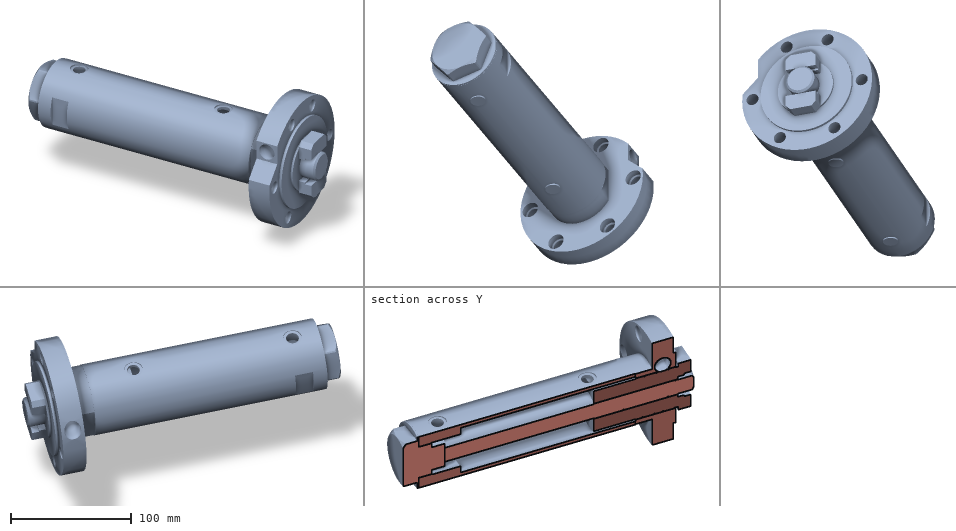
import cadquery as cq
import math

total_length = 263.5

hex_across_flats = 45.8
hex_corner_radius = 26.0
hex_turn_angle = 8.0
hex_face_radius = 22.7
hex_chamfer_length = 2.6
hex_length = 13.0
collar_radius = 29.8
collar_length = 1.5
plug_thread_end_x = 26.3
plug_nose_radius = 15.8
plug_nose_end_x = 38.2

tube_diameter = 59.8
tube_radius = tube_diameter / 2
tube_start_x = hex_length + collar_length
tube_end_x = 210.7
threaded_bore_radius = 19.8
threaded_bore_end_x = 52.7
wide_bore_radius = 26.0
wrench_flat_start_x = 24.8
wrench_flat_length = 15.3
wrench_flat_half_width = 27.0

port_x_positions = (35.5, 171.2)
port_radius = 5.3
spotface_radius = 7.6
spotface_z = 28.5
set_plug_x_positions = (38.7, 173.5)
set_plug_radius = 6.3
set_plug_tip_z = -30.8

neck_radius = 29.5
neck_flat_half_width = 25.0
flange_diameter = 114.0
flange_radius = flange_diameter / 2
flange_start_x = 225.5
flange_end_x = 245.0
pilot_radius = 40.0
pilot_end_x = 247.4
bolt_circle_radius = 48.0
bolt_angles = (0, 68, 112, 180, 240, 300)
bolt_hole_radius = 5.3
bolt_counterbore_radius = 7.0
bolt_counterbore_depth = 6.3
cross_hole_radius = 7.0
cross_hole_z = 29.0
notch_floor_y = -43.2
notch_corner_z = 20.0

hub_radius = 24.2
hub_start_x = 172.5
hub_end_x = 249.2
claw_end_x = 260.8
claw_span = 52.0
claw_half_width = 13.2
claw_chamfer = 4.0
claw_gap = 21.5
claw_relief_x = 255.0

rod_radius = 12.5
rod_chamfer = 1.5


def cylinder_x(radius, start_x, end_x, y=0.0, z=0.0):
    """Cylinder along X between two stations."""
    return cq.Workplane("YZ", origin=(start_x, y, z)).circle(radius).extrude(end_x - start_x)


def cylinder_z(radius, x, start_z, end_z):
    """Vertical cylinder between two heights."""
    return cq.Workplane("XY", origin=(x, 0, start_z)).circle(radius).extrude(end_z - start_z)


def box_between(start, end):
    """Box between two opposite corners."""
    size = [b - a for a, b in zip(start, end)]
    return cq.Workplane("XY").box(*size, centered=False).translate(start)


def side_flats(start_x, end_x, half_width, outer_radius):
    """Two cutters that leave flats at y = +half_width and y = -half_width."""
    upper = box_between((start_x, half_width, -outer_radius), (end_x, 2 * outer_radius, outer_radius))
    return upper.union(upper.mirror("XZ"))


def make_hex_plug():
    """Hex head, collar on the tube end, thread in the tube bore and a nose that meets the rod."""
    across_corners = hex_across_flats / math.cos(math.radians(30))
    head = cq.Workplane("YZ").polygon(6, across_corners).extrude(hex_length)
    head = head.rotate((0, 0, 0), (1, 0, 0), -hex_turn_angle)
    turned_profile = [
        (0, 0),
        (0, hex_face_radius),
        (hex_chamfer_length, hex_corner_radius),
        (hex_length, hex_corner_radius),
        (hex_length, 0),
    ]
    turned_blank = cq.Workplane("XY").polyline(turned_profile).close().revolve(360, (0, 0, 0), (1, 0, 0))
    collar = cylinder_x(collar_radius, hex_length, tube_start_x)
    thread = cylinder_x(threaded_bore_radius, tube_start_x, plug_thread_end_x)
    nose = cylinder_x(plug_nose_radius, plug_thread_end_x, plug_nose_end_x)
    return head.intersect(turned_blank).union(collar).union(thread).union(nose)


def make_tube_bore():
    """Cutter for the narrow threaded bore and the wide bore behind it."""
    threaded_bore = cylinder_x(threaded_bore_radius, tube_start_x, threaded_bore_end_x)
    return threaded_bore.union(cylinder_x(wide_bore_radius, threaded_bore_end_x, tube_end_x))


def make_tube():
    """Tube with two wrench flats, two ports and two set plug holes."""
    tube = cylinder_x(tube_radius, tube_start_x, tube_end_x).cut(make_tube_bore())
    wrench_flat_end_x = wrench_flat_start_x + wrench_flat_length
    tube = tube.cut(side_flats(wrench_flat_start_x, wrench_flat_end_x, wrench_flat_half_width, tube_radius))
    for x in port_x_positions:
        tube = tube.cut(cylinder_z(port_radius, x, 0, tube_radius))
        tube = tube.cut(cylinder_z(spotface_radius, x, spotface_z, tube_radius))
    for x in set_plug_x_positions:
        tube = tube.cut(cylinder_z(set_plug_radius, x, -tube_radius, 0))
    return tube


def make_set_plug(x):
    """Plug through the lower tube wall, ending flush with the bore."""
    plug = cylinder_z(set_plug_radius, x, set_plug_tip_z, 0)
    return plug.cut(make_tube_bore())


def make_notch():
    """Cutter for the flange edge notch with one 45 degree side."""
    outside = 2 * flange_radius
    outline = [
        (notch_floor_y, notch_corner_z),
        (notch_floor_y, outside),
        (-outside, outside),
        (-outside, notch_corner_z - outside - notch_floor_y),
    ]
    return cq.Workplane("YZ", origin=(flange_start_x, 0, 0)).polyline(outline).close().extrude(
        flange_end_x - flange_start_x)


def make_flange():
    """Neck with wrench flats, bolted flange and pilot."""
    neck = cylinder_x(neck_radius, tube_end_x, flange_start_x)
    neck = neck.cut(side_flats(tube_end_x, flange_start_x, neck_flat_half_width, neck_radius))
    flange = cylinder_x(flange_radius, flange_start_x, flange_end_x).cut(make_notch())
    counterbore_end_x = flange_start_x + bolt_counterbore_depth
    for angle in bolt_angles:
        y = bolt_circle_radius * math.cos(math.radians(angle))
        z = bolt_circle_radius * math.sin(math.radians(angle))
        flange = flange.cut(cylinder_x(bolt_hole_radius, flange_start_x, flange_end_x, y, z))
        flange = flange.cut(cylinder_x(bolt_counterbore_radius, flange_start_x, counterbore_end_x, y, z))
    cross_hole_x = (flange_start_x + flange_end_x) / 2
    cross_hole = cq.Workplane("XZ", origin=(cross_hole_x, 0, cross_hole_z)).circle(cross_hole_radius)
    flange = flange.cut(cross_hole.extrude(flange_radius, both=True))
    pilot = cylinder_x(pilot_radius, flange_end_x, pilot_end_x)
    hub_seat = cylinder_x(hub_radius, tube_end_x, pilot_end_x)
    return neck.union(flange).union(pilot).cut(hub_seat)


def make_hub():
    """Sleeve on the rod with two claws on its end face."""
    claws = box_between(
        (hub_end_x, -claw_half_width, -claw_span / 2),
        (claw_end_x, claw_half_width, claw_span / 2),
    ).edges("|X").chamfer(claw_chamfer)
    gap = box_between(
        (hub_end_x, -claw_half_width, -claw_gap / 2),
        (claw_end_x, claw_half_width, claw_gap / 2),
    )
    relief = box_between(
        (claw_relief_x, -claw_half_width, -rod_radius),
        (claw_end_x, claw_half_width, rod_radius),
    )
    sleeve = cylinder_x(hub_radius, hub_start_x, hub_end_x)
    hub = sleeve.union(claws.cut(gap).cut(relief))
    return hub.cut(cylinder_x(rod_radius, hub_start_x, claw_end_x))


def make_rod():
    """Plain rod from the plug nose to the far end, chamfered at the end."""
    return cylinder_x(rod_radius, plug_nose_end_x, total_length).faces(">X").chamfer(rod_chamfer)


hex_plug = make_hex_plug()
tube = make_tube()
set_plugs = [make_set_plug(x) for x in set_plug_x_positions]
flange = make_flange()
hub = make_hub()
rod = make_rod()

result = cq.Compound.makeCompound([
    hex_plug.val(),
    tube.val(),
    *[plug.val() for plug in set_plugs],
    flange.val(),
    hub.val(),
    rod.val(),
])